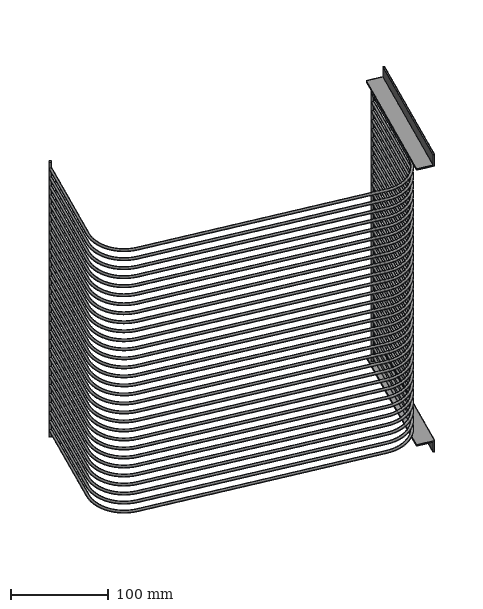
import cadquery as cq

OVERALL_WIDTH = 161.5
OVERALL_DEPTH = 368.5
OVERALL_HEIGHT = 396.0

BRACKET_LENGTH = 150.0
FLANGE_HEIGHT = 15.0
SHELF_DEPTH = 19.8
SHEET_THICKNESS = 1.8

ROD_DIAMETER = 3.0
WIRE_COUNT = 30
WIRE_FIELD_HEIGHT = 348.5
BEND_RADIUS = 39.5
BAR_X = 8.7
REAR_ROD_INSET = 3.5

ROD_RADIUS = ROD_DIAMETER / 2
WIRE_PITCH = WIRE_FIELD_HEIGHT / (WIRE_COUNT - 1)
BAR_LENGTH = OVERALL_HEIGHT - 2 * FLANGE_HEIGHT
SIDE_X = OVERALL_WIDTH - ROD_RADIUS
REAR_Y = -(SHELF_DEPTH - REAR_ROD_INSET)
FRONT_Y = -(OVERALL_DEPTH - ROD_RADIUS)


def upper_bracket():
    """L-section angle: a shelf resting on the bar and a flange rising from its rear edge."""
    return (
        cq.Workplane("YZ", origin=(0, 0, BAR_LENGTH / 2))
        .polyline([
            (0, 0),
            (-SHELF_DEPTH, 0),
            (-SHELF_DEPTH, SHEET_THICKNESS),
            (-SHEET_THICKNESS, SHEET_THICKNESS),
            (-SHEET_THICKNESS, FLANGE_HEIGHT),
            (0, FLANGE_HEIGHT),
        ])
        .close()
        .extrude(BRACKET_LENGTH)
    )


def upright_bar(y):
    """Vertical round bar that ties the wire ends together."""
    return (
        cq.Workplane("XY", origin=(BAR_X, y, -BAR_LENGTH / 2))
        .circle(ROD_RADIUS)
        .extrude(BAR_LENGTH)
    )


def bent_wire(z):
    """Horizontal U-shaped wire from the front bar, around the +X side, to the rear bar."""
    path = (
        cq.Workplane("XY", origin=(0, 0, z))
        .moveTo(BAR_X, FRONT_Y)
        .lineTo(SIDE_X - BEND_RADIUS, FRONT_Y)
        .radiusArc((SIDE_X, FRONT_Y + BEND_RADIUS), -BEND_RADIUS)
        .lineTo(SIDE_X, REAR_Y - BEND_RADIUS)
        .radiusArc((SIDE_X - BEND_RADIUS, REAR_Y), -BEND_RADIUS)
        .lineTo(BAR_X, REAR_Y)
    )
    return cq.Workplane("YZ", origin=(BAR_X, FRONT_Y, z)).circle(ROD_RADIUS).sweep(path)


def wire_grid():
    """All the wires welded to the front and rear bars as one solid."""
    lowest_z = -WIRE_FIELD_HEIGHT / 2
    wires = [bent_wire(lowest_z + i * WIRE_PITCH).val() for i in range(WIRE_COUNT)]
    front_bar = upright_bar(FRONT_Y).val()
    rear_bar = upright_bar(REAR_Y).val()
    return cq.Workplane(front_bar.fuse(rear_bar, *wires))


top_bracket = upper_bracket()
bottom_bracket = top_bracket.mirror("XY")
grid = wire_grid()

result = cq.Compound.makeCompound([top_bracket.val(), bottom_bracket.val(), *grid.solids().vals()])